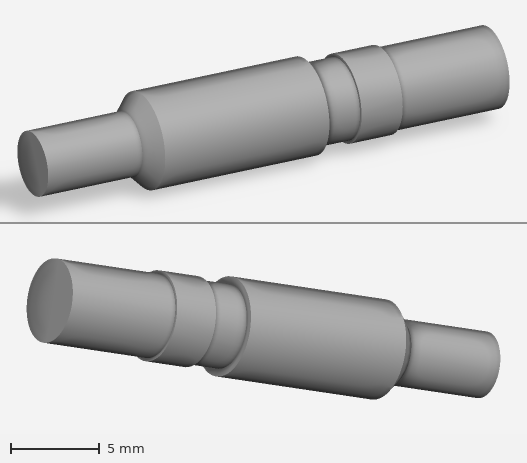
import cadquery as cq

length = 29.0

pin_diameter = 3.8
body_diameter = 5.7
neck_diameter = 4.8
collar_diameter = 5.2
tail_diameter = 4.8

pin_length = 5.97
cone_length = (body_diameter - pin_diameter) / 2
body_length = 10.4
neck_length = 2.18
collar_length = 2.6

pin_start = -length / 2
cone_start = pin_start + pin_length
body_start = cone_start + cone_length
neck_start = body_start + body_length
collar_start = neck_start + neck_length
tail_start = collar_start + collar_length
tail_end = length / 2


def cylinder_along_y(diameter, start, end):
    """Round section about the Y axis from start to end."""
    section = cq.Workplane("XZ", origin=(0, start, 0)).circle(diameter / 2)
    return section.extrude(start - end)


def shoulder_cone():
    """Cone widening from the pin to the body."""
    half_profile = [
        (0, cone_start),
        (pin_diameter / 2, cone_start),
        (body_diameter / 2, body_start),
        (0, body_start),
    ]
    return cq.Workplane("XY").polyline(half_profile).close().revolve(360, (0, 0, 0), (0, 1, 0))


pin = cylinder_along_y(pin_diameter, pin_start, cone_start)
body = cylinder_along_y(body_diameter, body_start, neck_start)
neck = cylinder_along_y(neck_diameter, neck_start, collar_start)
collar = cylinder_along_y(collar_diameter, collar_start, tail_start)
tail = cylinder_along_y(tail_diameter, tail_start, tail_end)

result = pin.union(shoulder_cone()).union(body).union(neck).union(collar).union(tail)